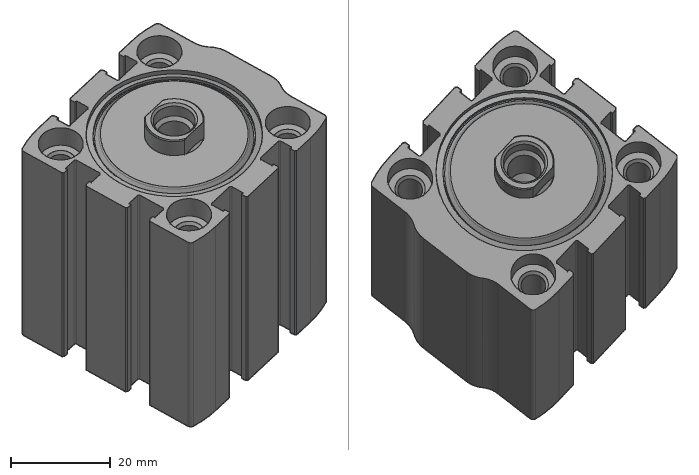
import cadquery as cq
import math

TOTAL_HEIGHT = 57.0
HOUSING_HEIGHT = 53.0
HALF_WIDTH = 45.0 / 2

SIDE_FLAT_HALF = 15.6
SIDE_ARC_RADIUS = 22.8
CORNER_FILLET = 0.9
RIDGE_HEIGHT = 2.05
RIDGE_TOP_HALF = 5.7
RIDGE_FOOT_HALF = 12.3

SLOT_OFFSET = 8.05
SLOT_MOUTH_WIDTH = 5.5
SLOT_INNER_WIDTH = 6.5
SLOT_LIP = 1.4
SLOT_DEPTH = 4.55
SLOT_MOUTH_FILLET = 0.3
SLOT_FLOOR_FILLET = 0.35

MOUNT_SPACING = 32.5
MOUNT_BORE_DIAMETER = 4.9
MOUNT_SINK_DIAMETER = 6.05
MOUNT_COUNTERBORE_DIAMETER = 9.0
MOUNT_COUNTERBORE_DEPTH = 5.0

RECESS_DIAMETER = 35.4
RECESS_DEPTH = 1.15
COLLAR_DIAMETER = 32.6
COLLAR_DEPTH = 0.55
GROOVE_DIAMETER = 32.0
GROOVE_DEPTH = 1.3
GUIDE_CHAMFER_DIAMETER = 30.3
GUIDE_DIAMETER = 29.65
GUIDE_CHAMFER_DEPTH = 0.45
GUIDE_DEPTH = 0.2

ROD_DIAMETER = 12.0
ROD_FLATS = 10.15
ROD_CHAMFER = 0.2
ROD_BOTTOM = 34.2
SHOULDER_TOP_DEPTH = 0.4
SHOULDER_EDGE_DEPTH = 0.95
SOCKET_DIAMETER = 8.4
SOCKET_MOUTH_DIAMETER = 9.35
SOCKET_DEPTH = 3.3
TAP_DIAMETER = 6.65
SOCKET_FLOOR_DROP = 0.6
TAP_DEPTH = 12.55
DRILL_HALF_ANGLE = math.radians(59)


def revolve_profile(points):
    """Turn a closed (radius, height) outline around the Z axis."""
    return cq.Workplane("XZ").polyline(points).close().revolve(360, (0, 0, 0), (0, 1, 0))


def side_x(y):
    """Half width of the housing at distance y from the middle, on the bulged stretch."""
    return HALF_WIDTH - SIDE_ARC_RADIUS + math.sqrt(SIDE_ARC_RADIUS**2 - (y - SIDE_FLAT_HALF) ** 2)


def housing_blank():
    """Extruded outline with bulged sides and a ridge whose flanks are S-curves."""
    arc_middle = (SIDE_FLAT_HALF + HALF_WIDTH) / 2
    corner = side_x(HALF_WIDTH)
    crest = HALF_WIDTH + RIDGE_HEIGHT
    flank_middle = ((RIDGE_TOP_HALF + RIDGE_FOOT_HALF) / 2, HALF_WIDTH + RIDGE_HEIGHT / 2)
    blank = (
        cq.Workplane("XY")
        .moveTo(0, -HALF_WIDTH)
        .lineTo(corner, -HALF_WIDTH)
        .threePointArc((side_x(arc_middle), -arc_middle), (HALF_WIDTH, -SIDE_FLAT_HALF))
        .lineTo(HALF_WIDTH, SIDE_FLAT_HALF)
        .threePointArc((side_x(arc_middle), arc_middle), (corner, HALF_WIDTH))
        .lineTo(RIDGE_FOOT_HALF, HALF_WIDTH)
        .tangentArcPoint(flank_middle, relative=False)
        .tangentArcPoint((RIDGE_TOP_HALF, crest), relative=False)
        .lineTo(0, crest)
        .mirrorY()
        .extrude(HOUSING_HEIGHT)
    )
    reach = CORNER_FILLET
    for x in (-corner, corner):
        for y in (-HALF_WIDTH, HALF_WIDTH):
            around_corner = cq.selectors.BoxSelector(
                (x - reach, y - reach, 0), (x + reach, y + reach, HOUSING_HEIGHT)
            )
            blank = blank.edges("|Z").edges(around_corner).fillet(CORNER_FILLET)
    return blank


def slot_cutter():
    """T-slot cutter in the -Y side, including the rounded edges of its mouth."""
    inner_half = SLOT_INNER_WIDTH / 2
    mouth_half = SLOT_MOUTH_WIDTH / 2
    flare_half = mouth_half + SLOT_MOUTH_FILLET
    flare_end = -HALF_WIDTH + SLOT_MOUTH_FILLET
    floor = -HALF_WIDTH + SLOT_DEPTH
    return (
        cq.Workplane("XY")
        .moveTo(0, -HALF_WIDTH)
        .lineTo(flare_half, -HALF_WIDTH)
        .radiusArc((mouth_half, flare_end), -SLOT_MOUTH_FILLET)
        .lineTo(mouth_half, -HALF_WIDTH + SLOT_LIP)
        .lineTo(inner_half, -HALF_WIDTH + SLOT_LIP)
        .lineTo(inner_half, floor - SLOT_FLOOR_FILLET)
        .radiusArc((inner_half - SLOT_FLOOR_FILLET, floor), -SLOT_FLOOR_FILLET)
        .lineTo(0, floor)
        .mirrorY()
        .extrude(HOUSING_HEIGHT)
    )


def cut_slots(body):
    for side_angle in (-90, 0, 90):
        for offset in (-SLOT_OFFSET, SLOT_OFFSET):
            cutter = slot_cutter().translate((offset, 0, 0))
            body = body.cut(cutter.rotate((0, 0, 0), (0, 0, 1), side_angle))
    return body


def mount_hole_cutter():
    bore = MOUNT_BORE_DIAMETER / 2
    sink = MOUNT_SINK_DIAMETER / 2
    counterbore = MOUNT_COUNTERBORE_DIAMETER / 2
    seat = HOUSING_HEIGHT - MOUNT_COUNTERBORE_DEPTH
    return revolve_profile([
        (0, 0),
        (bore, 0),
        (bore, seat - (sink - bore)),
        (sink, seat),
        (counterbore, seat),
        (counterbore, HOUSING_HEIGHT),
        (0, HOUSING_HEIGHT),
    ])


def cut_mount_holes(body):
    half = MOUNT_SPACING / 2
    for x in (-half, half):
        for y in (-half, half):
            body = body.cut(mount_hole_cutter().translate((x, y, 0)))
    return body


def guide_recess_cutter():
    """Space above the sloping collar, the groove inside it and the guide plate."""
    guide_face = HOUSING_HEIGHT - GUIDE_DEPTH
    groove_floor = HOUSING_HEIGHT - GROOVE_DEPTH
    return revolve_profile([
        (0, guide_face),
        (GUIDE_DIAMETER / 2, guide_face),
        (GUIDE_CHAMFER_DIAMETER / 2, HOUSING_HEIGHT - GUIDE_CHAMFER_DEPTH),
        (GROOVE_DIAMETER / 2, groove_floor),
        (COLLAR_DIAMETER / 2, groove_floor),
        (COLLAR_DIAMETER / 2, HOUSING_HEIGHT - COLLAR_DEPTH),
        (RECESS_DIAMETER / 2, HOUSING_HEIGHT - RECESS_DEPTH),
        (RECESS_DIAMETER / 2, HOUSING_HEIGHT),
        (0, HOUSING_HEIGHT),
    ])


def build_housing():
    body = cut_slots(housing_blank())
    body = cut_mount_holes(body)
    body = body.cut(guide_recess_cutter())
    rod_bore = cq.Workplane("XY", origin=(0, 0, ROD_BOTTOM)).circle(ROD_DIAMETER / 2).extrude(HOUSING_HEIGHT)
    return body.cut(rod_bore)


def rod_shoulder():
    """Full-diameter lower part of the rod, ending in a cone below the flats."""
    radius = ROD_DIAMETER / 2
    flat = ROD_FLATS / 2
    cone_top = HOUSING_HEIGHT - SHOULDER_TOP_DEPTH
    return revolve_profile([
        (0, ROD_BOTTOM),
        (radius, ROD_BOTTOM),
        (radius, HOUSING_HEIGHT - SHOULDER_EDGE_DEPTH),
        (flat, cone_top),
        (0, cone_top),
    ])


def rod_head():
    """Upper part of the rod, chamfered at its top end, with two flats facing -X and +X."""
    base = HOUSING_HEIGHT - SHOULDER_EDGE_DEPTH
    height = TOTAL_HEIGHT - base
    head = cq.Workplane("XY").circle(ROD_DIAMETER / 2).extrude(height).faces(">Z").chamfer(ROD_CHAMFER)
    flats = cq.Workplane("XY").box(ROD_FLATS, ROD_DIAMETER, height, centered=(True, True, False))
    return head.intersect(flats).translate((0, 0, base))


def socket_cutter():
    """Chamfered socket that steps down to a tap hole with a drill point."""
    mouth = SOCKET_MOUTH_DIAMETER / 2
    socket = SOCKET_DIAMETER / 2
    tap = TAP_DIAMETER / 2
    step = TOTAL_HEIGHT - SOCKET_DEPTH
    tap_end = TOTAL_HEIGHT - TAP_DEPTH
    return revolve_profile([
        (0, tap_end - tap / math.tan(DRILL_HALF_ANGLE)),
        (tap, tap_end),
        (tap, step - SOCKET_FLOOR_DROP),
        (socket, step),
        (socket, TOTAL_HEIGHT - (mouth - socket)),
        (mouth, TOTAL_HEIGHT),
        (0, TOTAL_HEIGHT),
    ])


def build_rod():
    return rod_shoulder().union(rod_head()).cut(socket_cutter())


housing = build_housing()
rod = build_rod()
result = cq.Compound.makeCompound([housing.solids().val(), rod.solids().val()])